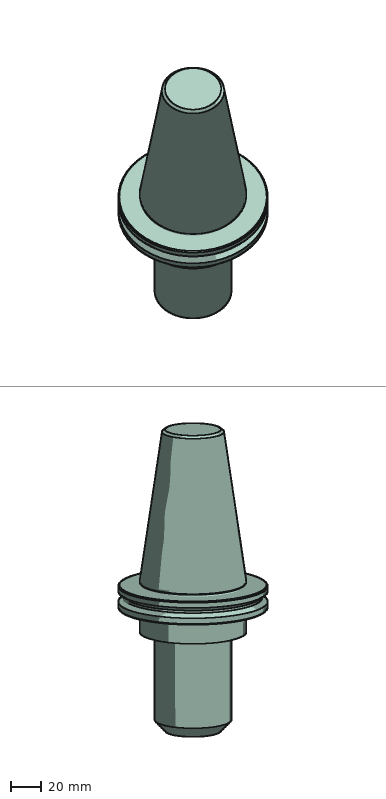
import cadquery as cq
import math

total_height = 203.2
taper_length = 101.5
gauge_z = total_height - taper_length
flange_top_z = 98.3
flange_bottom_z = 82.5
collar_bottom_z = 66.6

flange_radius = 98.3 / 2
groove_radius = 91.2 / 2
gauge_radius = 70.1 / 2
collar_radius = 70.3 / 2
shank_radius = 50.8 / 2

taper_slope = 7 / 24 / 2
tip_chamfer_height = 1.6
tip_chamfer_width = 2.0
tip_z = total_height - tip_chamfer_height
tip_radius = gauge_radius - taper_slope * (tip_z - gauge_z)

gauge_land = 1.5
relief_radius = 34.3
relief_chamfer = gauge_radius - relief_radius
relief_top_z = gauge_z - gauge_land - relief_chamfer

groove_center_z = 90.6
groove_floor_width = 2.8
flank_height = (flange_radius - groove_radius) * math.tan(math.radians(30))
floor_half = groove_floor_width / 2
mouth_half = floor_half + flank_height
rim_chamfer = 0.8

flange_root_fillet = 0.8
groove_fillet = 1.0

nose_chamfer_height = 7.5
nose_radius = 18.3

profile = [
    (0, 0),
    (nose_radius, 0),
    (shank_radius, nose_chamfer_height),
    (shank_radius, collar_bottom_z),
    (collar_radius, collar_bottom_z),
    (collar_radius, flange_bottom_z),
    (flange_radius - rim_chamfer, flange_bottom_z),
    (flange_radius, flange_bottom_z + rim_chamfer),
    (flange_radius, groove_center_z - mouth_half),
    (groove_radius, groove_center_z - floor_half),
    (groove_radius, groove_center_z + floor_half),
    (flange_radius, groove_center_z + mouth_half),
    (flange_radius, flange_top_z - rim_chamfer),
    (flange_radius - rim_chamfer, flange_top_z),
    (relief_radius, flange_top_z),
    (relief_radius, relief_top_z),
    (gauge_radius, gauge_z - gauge_land),
    (gauge_radius, gauge_z),
    (tip_radius, tip_z),
    (tip_radius - tip_chamfer_width, total_height),
    (0, total_height),
]

body = cq.Workplane("XZ").polyline(profile).close().revolve(360, (0, 0, 0), (0, 1, 0))


def ring_edges(workplane, rings):
    """Select the circular edges passing through the given (radius, z) points."""
    tolerance = 0.02
    selected = []
    for edge in workplane.edges("%CIRCLE").vals():
        for radius, z in rings:
            same_radius = abs(edge.radius() - radius) < tolerance
            same_height = abs(edge.Center().z - z) < tolerance
            if same_radius and same_height:
                selected.append(edge)
    return workplane.newObject(selected)


flange_roots = [(collar_radius, flange_bottom_z), (relief_radius, flange_top_z)]
groove_corners = [(groove_radius, groove_center_z + side * floor_half) for side in (-1, 1)]
body = ring_edges(body, flange_roots).fillet(flange_root_fillet)
result = ring_edges(body, groove_corners).fillet(groove_fillet)